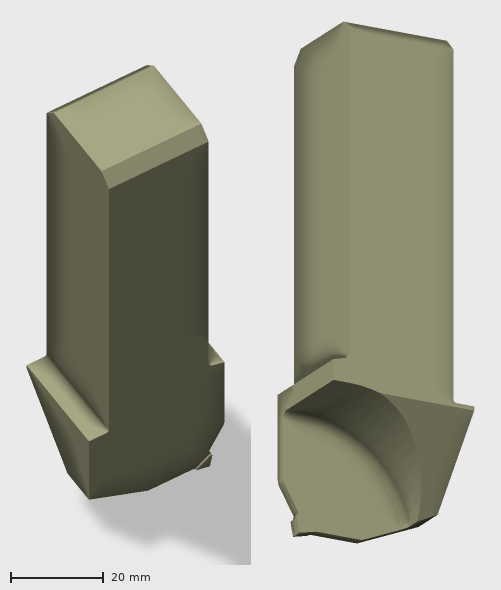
import cadquery as cq
import math


shank_size = 25.4
total_height = 111.0
end_chamfer = 3.0

front_flange_depth = 5.07
front_flange_top = 26.9
front_flange_bottom = 7.4
front_fillet = 0.7
back_flange_depth = 4.0
back_flange_top = 31.8
back_flange_slope = math.radians(15)
back_fillet = 1.4

head_bottom = 1.0
bottom_front_y = 10.0
back_corner_z = 11.3
back_relief_angle = math.radians(30)
back_corner_fillet = 3.0

bevel_top = 25.95
bevel_angle = math.radians(42)

blade_thickness = 2.35
recess_radius = 27.0
recess_fillet = 1.6

insert_back_end = [
    (19.0, 7.5),
    (18.9, 8.2),
    (18.9, 9.2),
    (19.2, 9.85),
    (22.7, 9.85),
    (23.9, 8.5),
]
insert_front_edge = [(25.5, 4.7), (25.7, 3.7)]
insert_width = 3.0
side_overhang = 0.5
rake_top = (26.05, 3.4)
heel = (21.2, head_bottom)
relief_start = (25.5, 3.5)
relief_end = (22.2, 1.1)

front_y = -front_flange_depth
back_y = shank_size + back_flange_depth
blade_x = shank_size - blade_thickness
insert_right_x = shank_size + side_overhang
insert_left_x = insert_right_x - insert_width
tip = (shank_size, 0.0)


def prism(points, start_x, end_x):
    """Solid with a polygonal Y-Z outline between two X positions."""
    return cq.Workplane("YZ", origin=(start_x, 0, 0)).polyline(points).close().extrude(end_x - start_x)


def edge_at(y, z):
    """Selector for the long X-direction edge at a point of the Y-Z outline."""
    return cq.selectors.NearestToPointSelector((shank_size / 2, y, z))


def make_blank():
    """Full-width shank and head with the rounded corners and the top chamfers."""
    back_root_z = back_flange_top + back_flange_depth * math.tan(back_flange_slope)
    relief_end_y = back_y - (back_corner_z - head_bottom) * math.tan(back_relief_angle)
    outline = [
        (0, total_height),
        (0, front_flange_top),
        (front_y, front_flange_top),
        (front_y, front_flange_bottom),
        (bottom_front_y, head_bottom),
        (relief_end_y, head_bottom),
        (back_y, back_corner_z),
        (back_y, back_flange_top),
        (shank_size, back_root_z),
        (shank_size, total_height),
    ]
    blank = prism(outline, 0, shank_size)
    blank = blank.edges(edge_at(0, front_flange_top)).fillet(front_fillet)
    blank = blank.edges(edge_at(shank_size, back_root_z)).fillet(back_fillet)
    blank = blank.edges(edge_at(back_y, back_corner_z)).fillet(back_corner_fillet)
    return blank.faces(">Z").edges("|Y").chamfer(end_chamfer)


def make_bevel_cut():
    """Wedge removed below the slanted side of the head."""
    bevel_width = bevel_top * math.tan(bevel_angle)
    return (
        cq.Workplane("XZ", origin=(0, back_y, 0))
        .polyline([(0, bevel_top), (bevel_width, 0), (0, 0)])
        .close()
        .extrude(back_y - front_y)
    )


def make_recess_cut():
    """Quarter-round recess, open to the back and below, with a filleted floor."""
    recess = (
        cq.Workplane("YZ")
        .moveTo(back_y + recess_radius, recess_radius)
        .lineTo(shank_size, recess_radius)
        .radiusArc((shank_size - recess_radius, 0), -recess_radius)
        .lineTo(shank_size - recess_radius, -recess_radius)
        .lineTo(back_y + recess_radius, -recess_radius)
        .close()
        .extrude(blade_x)
    )
    wall_top = cq.selectors.NearestToPointSelector((blade_x, back_y, recess_radius))
    return recess.edges(wall_top).fillet(recess_fillet)


def make_insert_shank():
    """Insert body, flush with both faces of the blade."""
    outline = [heel, *insert_back_end, *insert_front_edge, rake_top, tip]
    return prism(outline, blade_x, shank_size)


def make_cutting_head():
    """Cutting corner, proud of the blade on +X and widening on -X from the relief line to the tip."""
    corner = prism([relief_start, rake_top, tip, heel, relief_end], insert_left_x, insert_right_x)
    run_y = relief_end[0] - relief_start[0]
    run_z = relief_end[1] - relief_start[1]
    run = math.hypot(run_y, run_z)
    tip_distance = (run_y * (tip[1] - relief_start[1]) - run_z * (tip[0] - relief_start[0])) / run
    taper_plane = cq.Plane(
        origin=(0, *relief_start),
        xDir=(1, 0, 0),
        normal=(0, -run_y / run, -run_z / run),
    )
    taper = (
        cq.Workplane(taper_plane)
        .polyline([
            (blade_x, 0),
            (insert_right_x, 0),
            (insert_right_x, tip_distance),
            (insert_left_x, tip_distance),
        ])
        .close()
        .extrude(2 * run, both=True)
    )
    return corner.intersect(taper)


insert = make_insert_shank().union(make_cutting_head())
holder = make_blank().cut(make_bevel_cut()).cut(make_recess_cut()).cut(insert)

result = cq.Compound.makeCompound([holder.solids().val(), insert.solids().val()])